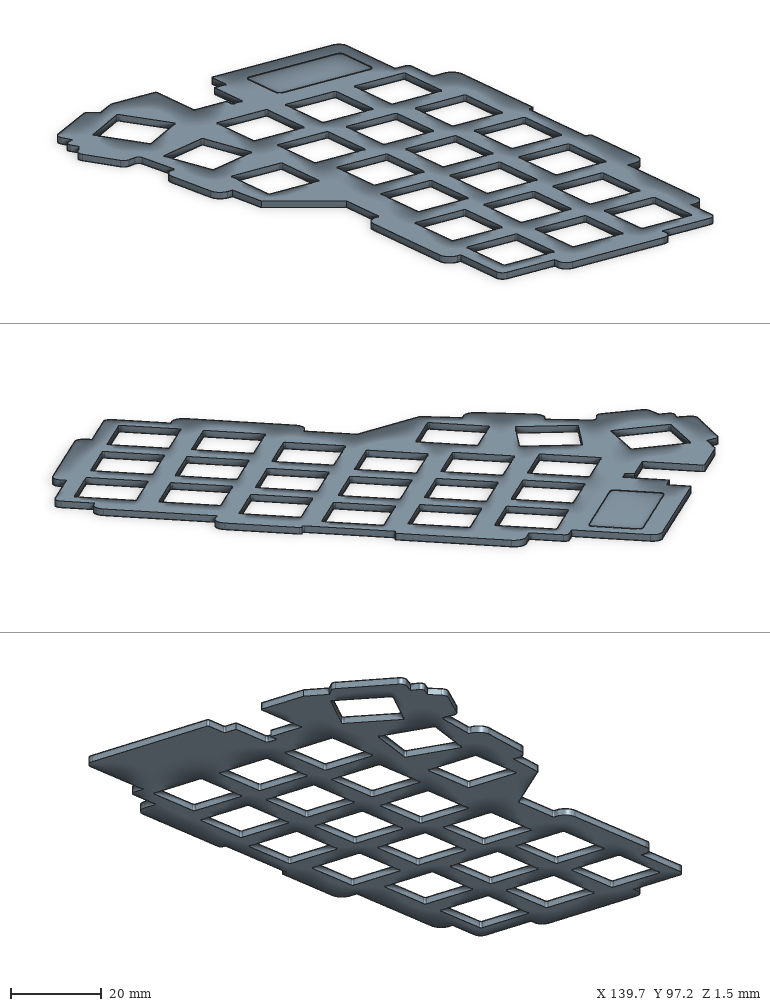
import cadquery as cq
import math

LENGTH = 139.7
WIDTH = 97.2
THICKNESS = 1.5

KEY_PITCH = 19.0
KEY_OPENING = 14.0
KEY_CORNER_RADIUS = 0.4
KEY_ROWS = 3
FIRST_COLUMN_X = 30.3
COLUMN_TOP_KEY_Y = [80.5, 83.0, 85.1, 83.0, 78.1, 78.1]
THUMB_KEYS = [(15.5, 18.7, 30), (37.7, 22.4, 15), (58.8, 25.1, 0)]

RECESS_LENGTH = 26.3
RECESS_WIDTH = 12.2
RECESS_CENTER = (10.9, 70.7)
RECESS_CORNER_RADIUS = 1.1
RECESS_DEPTH = 0.1

SHARP = 0
TINY = 0.4
SMALL = 1.1
MEDIUM = 1.7
BROAD = 2.2
LARGE = 2.8

RIGHT_SHOULDER_X = 136.2
REAR_TAB_DIP_Y = WIDTH - 1.4
FRONT_EDGE_Y = 29.3
FRONT_TAB_Y = 25.5

REAR_CORNERS = [
    (0, 87.5, BROAD),
    (20.0, 87.5, SHARP),
    (20.0, 91.2, SMALL),
    (28.8, 91.2, TINY),
    (28.8, WIDTH, LARGE),
    (57.8, WIDTH, TINY),
    (57.8, REAR_TAB_DIP_Y, TINY),
    (78.8, REAR_TAB_DIP_Y, TINY),
    (78.8, WIDTH, TINY),
    (98.8, WIDTH, LARGE),
    (98.8, 92.5, SHARP),
    (127.0, 92.5, LARGE),
    (127.0, 88.7, SHARP),
]
RIGHT_CORNERS = [
    (RIGHT_SHOULDER_X, 88.7, MEDIUM),
    (RIGHT_SHOULDER_X, 73.9, SHARP),
    (LENGTH, 73.9, BROAD),
    (LENGTH, 44.1, BROAD),
    (RIGHT_SHOULDER_X, 44.1, SHARP),
    (RIGHT_SHOULDER_X, FRONT_EDGE_Y, MEDIUM),
]
FRONT_CORNERS = [
    (121.4, FRONT_EDGE_Y, SHARP),
    (121.4, FRONT_TAB_Y, LARGE),
    (91.5, FRONT_TAB_Y, LARGE),
    (91.5, FRONT_EDGE_Y, TINY),
    (79.5, FRONT_EDGE_Y, SHARP),
]
THUMB_CORNERS = [
    (68.3, 14.2, SHARP),
    (59.0, 13.3, SHARP),
    (59.0, 9.4, LARGE),
    (41.1, 7.4, LARGE),
    (41.0, 10.9, TINY),
    (29.6, 9.4, SMALL),
    (30.3, 5.2, MEDIUM),
    (20.1, -0.4, MEDIUM),
    (16.9, 2.5, SHARP),
    (13.8, 1.0, SMALL),
    (12.6, 3.8, SHARP),
    (8.7, 2.1, MEDIUM),
    (0.7, 16.3, SMALL),
    (2.8, 19.0, SHARP),
]
LEFT_CORNERS = [
    (0, 24.0, SHARP),
    (0, 36.5, TINY),
    (14.0, 36.5, SHARP),
    (14.0, 45.4, SHARP),
    (16.0, 45.4, TINY),
    (16.0, 48.3, TINY),
    (5.6, 48.3, SHARP),
    (5.6, 51.7, TINY),
    (0, 51.7, TINY),
]
OUTLINE = REAR_CORNERS + RIGHT_CORNERS + FRONT_CORNERS + THUMB_CORNERS + LEFT_CORNERS


def corner_arc(before, corner, after, radius):
    """Start, middle and end of the arc that rounds one corner; all the corner itself at radius 0."""
    point = cq.Vector(*corner)
    toward_before = (cq.Vector(*before) - point).normalized()
    toward_after = (cq.Vector(*after) - point).normalized()
    half_angle = toward_before.getAngle(toward_after) / 2
    setback = radius / math.tan(half_angle)
    bisector = (toward_before + toward_after).normalized()
    middle = point + bisector * (radius / math.sin(half_angle) - radius)
    return point + toward_before * setback, middle, point + toward_after * setback


def rounded_outline(corners):
    """Draw a closed outline through the corners, rounding each by its own radius."""
    points = [(x, y) for x, y, _ in corners]
    sketch = cq.Workplane("XY")
    for index, (x, y, radius) in enumerate(corners):
        before = points[index - 1]
        after = points[(index + 1) % len(points)]
        arc_start, arc_middle, arc_end = corner_arc(before, (x, y), after, radius)
        if index == 0:
            sketch = sketch.moveTo(arc_start.x, arc_start.y)
        else:
            sketch = sketch.lineTo(arc_start.x, arc_start.y)
        if radius != SHARP:
            sketch = sketch.threePointArc((arc_middle.x, arc_middle.y), (arc_end.x, arc_end.y))
    return sketch.close()


def key_opening(x, y, rotation=0):
    """Square cutter for one switch, turned about its own centre."""
    cutter = cq.Workplane("XY").rect(KEY_OPENING, KEY_OPENING).extrude(THICKNESS)
    cutter = cutter.edges("|Z").fillet(KEY_CORNER_RADIUS)
    return cutter.rotate((0, 0, 0), (0, 0, 1), rotation).translate((x, y, 0))


def recess():
    """Cutter for the shallow recess, reaching up to the top face."""
    cutter = cq.Workplane("XY").rect(RECESS_WIDTH, RECESS_LENGTH).extrude(RECESS_DEPTH)
    cutter = cutter.edges("|Z").fillet(RECESS_CORNER_RADIUS)
    return cutter.translate((*RECESS_CENTER, THICKNESS - RECESS_DEPTH))


plate = rounded_outline(OUTLINE).extrude(THICKNESS)

for column, top_key_y in enumerate(COLUMN_TOP_KEY_Y):
    for row in range(KEY_ROWS):
        plate = plate.cut(key_opening(FIRST_COLUMN_X + column * KEY_PITCH, top_key_y - row * KEY_PITCH))

for x, y, rotation in THUMB_KEYS:
    plate = plate.cut(key_opening(x, y, rotation))

result = plate.cut(recess())